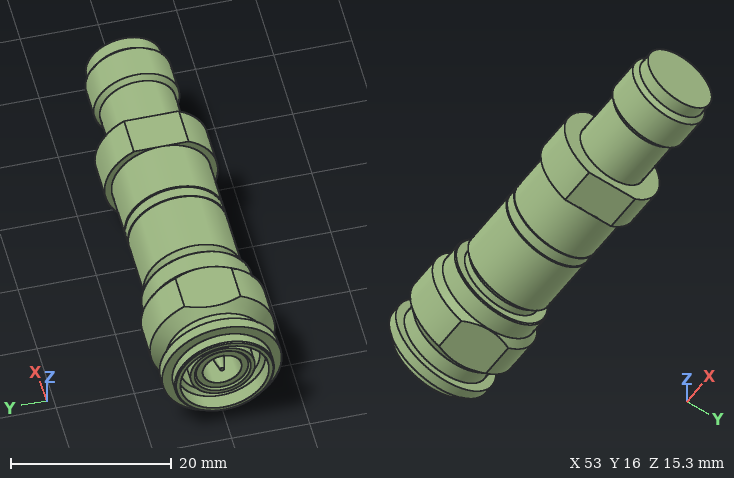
import cadquery as cq

LENGTH = 53.0

TUBE_RADIUS = 6.35
TUBE_END_CHAMFER = 0.15
FLANGE_RADIUS = 15.3 / 2
FLANGE_START = 1.45
FLANGE_END = 2.85
GRIP_RADIUS = 8.0
GRIP_CONE_START = 4.9
GRIP_START = 6.4
GRIP_END = 11.2
GRIP_FLAT_DISTANCE = 7.15
COLLAR_RADIUS = 7.1
COLLAR_START = 12.15
COLLAR_CHAMFER = 0.15
NUT_END = 14.85
MOUTH_RADIUS = 5.65
NUT_BORE_RADIUS = 10.25 / 2
MOUTH_DEPTH = 1.95
BORE_START = MOUTH_DEPTH + MOUTH_RADIUS - NUT_BORE_RADIUS

SLEEVE_RADIUS = 4.15
SLEEVE_START = 1.05
SLEEVE_RIM_RADIUS = 3.6
SLEEVE_SEAT_RADIUS = 3.35
SLEEVE_SEAT = SLEEVE_START + SLEEVE_RIM_RADIUS - SLEEVE_SEAT_RADIUS
SOCKET_RADIUS = 2.5
SOCKET_FLOOR = GRIP_START
NECK_RADIUS = 5.65
NECK_END = 15.85
BARREL_RADIUS = 6.35
BARREL_START = NECK_END + BARREL_RADIUS - NECK_RADIUS
BARREL_END = 24.8
JOINT_CHAMFER = 0.1
PIN_RADIUS = 1.55 / 2
PIN_TIP_RADIUS = 0.25
PIN_START = 1.3
PIN_CONE_LENGTH = 2.2

GROOVE_START = 26.35
WRENCH_START = 33.35
WRENCH_END = 38.5
WRENCH_RADIUS = 7.25
WRENCH_FLAT_DISTANCE = BARREL_RADIUS
JACK_RADIUS = 4.9
THREAD_RADIUS = 5.5
THREAD_CONE = THREAD_RADIUS - JACK_RADIUS
THREAD_START = 46.25
THREAD_END = 50.6


def turned(profile):
    """Revolve a closed (x, radius) outline about the X axis."""
    return cq.Workplane("XY").polyline(profile).close().revolve(360, (0, 0, 0), (1, 0, 0))


def two_flats(blank, start, end, radius, flat_distance):
    """Cut parallel flats above and below the axis between two X positions."""
    cut_height = radius
    for side in (1, -1):
        cutter = cq.Workplane("XY").box(end - start, 2 * radius, cut_height).translate(
            ((start + end) / 2, 0, side * (flat_distance + cut_height / 2))
        )
        blank = blank.cut(cutter)
    return blank


def make_nut():
    """Coupling nut: flanged tube, two-flat grip and rear collar, bored through."""
    blank = turned([
        (0, MOUTH_RADIUS),
        (0, TUBE_RADIUS - TUBE_END_CHAMFER),
        (TUBE_END_CHAMFER, TUBE_RADIUS),
        (FLANGE_START, TUBE_RADIUS),
        (FLANGE_START, FLANGE_RADIUS),
        (FLANGE_END, FLANGE_RADIUS),
        (FLANGE_END, TUBE_RADIUS),
        (GRIP_CONE_START, TUBE_RADIUS),
        (GRIP_START, GRIP_RADIUS),
        (GRIP_END, GRIP_RADIUS),
        (COLLAR_START, COLLAR_RADIUS),
        (NUT_END - COLLAR_CHAMFER, COLLAR_RADIUS),
        (NUT_END, COLLAR_RADIUS - COLLAR_CHAMFER),
        (NUT_END, NUT_BORE_RADIUS),
        (BORE_START, NUT_BORE_RADIUS),
        (MOUTH_DEPTH, MOUTH_RADIUS),
    ])
    return two_flats(blank, GRIP_CONE_START, COLLAR_START, GRIP_RADIUS, GRIP_FLAT_DISTANCE)


def make_plug_body():
    """Front body: contact pin in a socket, sleeve, nut bearing, neck and barrel."""
    return turned([
        (PIN_START, 0),
        (PIN_START, PIN_TIP_RADIUS),
        (PIN_START + PIN_CONE_LENGTH, PIN_RADIUS),
        (SOCKET_FLOOR, PIN_RADIUS),
        (SOCKET_FLOOR, SOCKET_RADIUS),
        (SLEEVE_SEAT, SOCKET_RADIUS),
        (SLEEVE_SEAT, SLEEVE_SEAT_RADIUS),
        (SLEEVE_START, SLEEVE_RIM_RADIUS),
        (SLEEVE_START, SLEEVE_RADIUS),
        (SOCKET_FLOOR, SLEEVE_RADIUS),
        (SOCKET_FLOOR, NUT_BORE_RADIUS),
        (NUT_END, NUT_BORE_RADIUS),
        (NUT_END, NECK_RADIUS),
        (NECK_END, NECK_RADIUS),
        (BARREL_START, BARREL_RADIUS),
        (BARREL_END - JOINT_CHAMFER, BARREL_RADIUS),
        (BARREL_END, BARREL_RADIUS - JOINT_CHAMFER),
        (BARREL_END, 0),
    ])


def make_jack_body():
    """Rear body: grooved barrel, two-flat wrench block and threaded jack."""
    blank = turned([
        (BARREL_END, 0),
        (BARREL_END, BARREL_RADIUS),
        (GROOVE_START, BARREL_RADIUS),
        (GROOVE_START, BARREL_RADIUS - JOINT_CHAMFER),
        (GROOVE_START + JOINT_CHAMFER, BARREL_RADIUS),
        (WRENCH_START, BARREL_RADIUS),
        (WRENCH_START, WRENCH_RADIUS),
        (WRENCH_END, WRENCH_RADIUS),
        (WRENCH_END, JACK_RADIUS),
        (THREAD_START - THREAD_CONE, JACK_RADIUS),
        (THREAD_START, THREAD_RADIUS),
        (THREAD_END, THREAD_RADIUS),
        (THREAD_END + THREAD_CONE, JACK_RADIUS),
        (LENGTH, JACK_RADIUS),
        (LENGTH, 0),
    ])
    return two_flats(blank, WRENCH_START, WRENCH_END, WRENCH_RADIUS, WRENCH_FLAT_DISTANCE)


nut = make_nut()
plug_body = make_plug_body()
jack_body = make_jack_body()

result = cq.Compound.makeCompound([nut.val(), plug_body.val(), jack_body.val()])